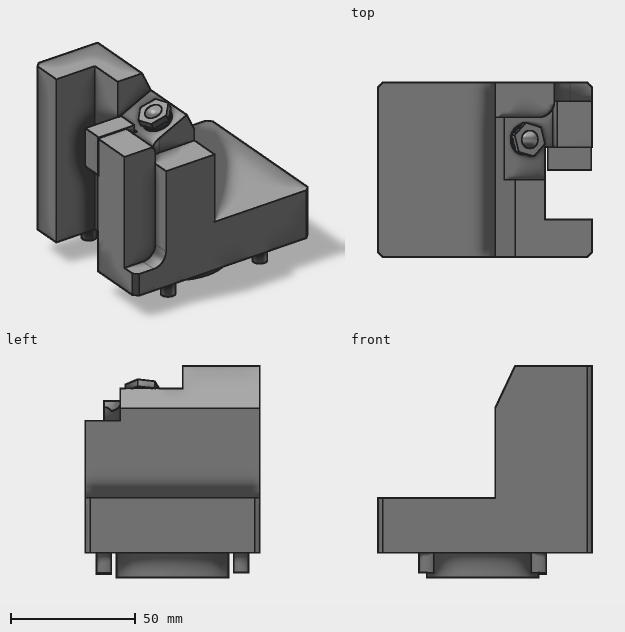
import cadquery as cq
import math

LENGTH = 86.0
WIDTH = 70.0
HEIGHT = 75.0
BASE_HEIGHT = 22.0
WALL_X = 47.0
SLOPE_BOTTOM_Z = 58.05
SLOPE_TOP_X = 55.0
CORNER_CHAMFER = 2.0

SEAT_Y = 31.0
SEAT_EDGE_Z = 66.0
SEAT_END_X = 70.1
BLOCK_TOP_Z = 61.0
SLOPE_RATIO = (SLOPE_TOP_X - WALL_X) / (HEIGHT - SLOPE_BOTTOM_Z)
SEAT_ANGLE = math.degrees(math.atan(SLOPE_RATIO))
SEAT_EDGE_X = WALL_X + SLOPE_RATIO * (SEAT_EDGE_Z - SLOPE_BOTTOM_Z)

LEDGE_Z = 53.0
LEDGE_Y = 56.0
LEDGE_END_X = 70.9
LEDGE_CORNER_RADIUS = 6.5
NOTCH_FILLET_RADIUS = 6.0
NOTCH_Y = LEDGE_Y + LEDGE_CORNER_RADIUS
NOTCH_FLOOR_Z = 10.0

SLOT_X = 67.1
SLOT_START_Y = 15.1
SLOT_END_Y = 44.1
JAW_START_X = 68.1
JAW_END_X = 85.65
JAW_START_Y = 34.8
JAW_TOP_Z = 61.4
JAW_BOTTOM_Z = JAW_TOP_Z - (JAW_END_X - JAW_START_X)

BOSS_X = 42.05
BOSS_Y = WIDTH / 2
BOSS_DIAMETER = 45.0
BOSS_HEIGHT = 10.0
PIN_DIAMETER = 6.0
PIN_HEIGHT = 7.9
LONG_PIN_HEIGHT = 8.6
PIN_OFFSET_X = 22.5
PIN_OFFSET_Y = 27.5

SCREW_X = 58.8
SCREW_Y = 47.1
WASHER_DIAMETER = 12.4
WASHER_HEIGHT = 0.4
COLLAR_DIAMETER = 11.9
COLLAR_HEIGHT = 2.0
HEX_CORNER_DIAMETER = 13.9
HEX_TOP_HEIGHT = 5.1
HEX_ROTATION = -15.0
DOME_RADIUS = 3.6
DOME_HEIGHT = 1.7


def box(x_range, y_range, z_range):
    """Box between two limits along each axis."""
    size = [high - low for low, high in (x_range, y_range, z_range)]
    return cq.Workplane("XY").box(*size, centered=False).translate((x_range[0], y_range[0], z_range[0]))


def extrude_along_y(profile, start_y, end_y):
    """Extrude a closed XZ workplane profile from start_y to end_y."""
    return profile.extrude(start_y - end_y).translate((0, start_y, 0))


def seat_z(x):
    """Height of the inclined seat at x."""
    return SEAT_EDGE_Z - SLOPE_RATIO * (x - SEAT_EDGE_X)


def make_body():
    profile = cq.Workplane("XZ").polyline([
        (0, 0), (LENGTH, 0), (LENGTH, HEIGHT), (SLOPE_TOP_X, HEIGHT),
        (WALL_X, SLOPE_BOTTOM_Z), (WALL_X, BASE_HEIGHT), (0, BASE_HEIGHT),
    ]).close()
    body = extrude_along_y(profile, 0, WIDTH)
    return body.edges("|Z and (<X or >X)").chamfer(CORNER_CHAMFER)


def make_seat_cut():
    """Space above the inclined seat, the block's leaning wall and the block top."""
    seat_end_z = seat_z(SEAT_END_X)
    block_edge_x = SEAT_END_X + SLOPE_RATIO * (BLOCK_TOP_Z - seat_end_z)
    profile = cq.Workplane("XZ").polyline([
        (WALL_X, seat_z(WALL_X)), (SEAT_END_X, seat_end_z), (block_edge_x, BLOCK_TOP_Z),
        (LENGTH, BLOCK_TOP_Z), (LENGTH, HEIGHT), (WALL_X, HEIGHT),
    ]).close()
    return extrude_along_y(profile, SEAT_Y, WIDTH)


def make_ledge_cut():
    ledge = box((WALL_X, LEDGE_END_X), (LEDGE_Y, WIDTH), (LEDGE_Z, HEIGHT))
    return ledge.edges("|Z and >X and <Y").fillet(LEDGE_CORNER_RADIUS)


def make_notch_cut():
    """Rear notch cut down into the base, its floor meeting the ledge wall in a concave quarter round."""
    arc_centre = (LEDGE_END_X + NOTCH_FILLET_RADIUS, NOTCH_FLOOR_Z + NOTCH_FILLET_RADIUS)
    arc_reach = NOTCH_FILLET_RADIUS * math.sqrt(0.5)
    profile = (
        cq.Workplane("XZ")
        .moveTo(LEDGE_END_X, HEIGHT)
        .lineTo(LEDGE_END_X, arc_centre[1])
        .threePointArc(
            (arc_centre[0] - arc_reach, arc_centre[1] - arc_reach),
            (arc_centre[0], NOTCH_FLOOR_Z),
        )
        .lineTo(LENGTH, NOTCH_FLOOR_Z)
        .lineTo(LENGTH, HEIGHT)
        .close()
    )
    return extrude_along_y(profile, NOTCH_Y, WIDTH)


def make_pin(x_side, y_side):
    is_long = x_side > 0 and y_side > 0
    height = LONG_PIN_HEIGHT if is_long else PIN_HEIGHT
    pin = cq.Workplane("XY").circle(PIN_DIAMETER / 2).extrude(-height)
    return pin.translate((BOSS_X + x_side * PIN_OFFSET_X, BOSS_Y + y_side * PIN_OFFSET_Y, 0))


def make_screw():
    """Washer, collar, hexagon and domed centre, built upright and then tilted onto the seat."""
    washer = cq.Workplane("XY").circle(WASHER_DIAMETER / 2).extrude(WASHER_HEIGHT)
    collar = cq.Workplane("XY").circle(COLLAR_DIAMETER / 2).extrude(COLLAR_HEIGHT)
    hexagon = (
        cq.Workplane("XY")
        .workplane(offset=COLLAR_HEIGHT)
        .polygon(6, HEX_CORNER_DIAMETER)
        .extrude(HEX_TOP_HEIGHT - COLLAR_HEIGHT)
        .rotate((0, 0, 0), (0, 0, 1), HEX_ROTATION)
    )
    sphere_radius = (DOME_RADIUS**2 + DOME_HEIGHT**2) / (2 * DOME_HEIGHT)
    dome_top = HEX_TOP_HEIGHT + DOME_HEIGHT
    dome = (
        cq.Workplane("XY")
        .sphere(sphere_radius)
        .translate((0, 0, dome_top - sphere_radius))
        .intersect(cq.Workplane("XY").circle(DOME_RADIUS).extrude(dome_top))
    )
    screw = washer.union(collar).union(hexagon).union(dome)
    screw = screw.rotate((0, 0, 0), (0, 1, 0), SEAT_ANGLE)
    return screw.translate((SCREW_X, SCREW_Y, seat_z(SCREW_X)))


result = make_body()
result = result.cut(make_seat_cut())
result = result.cut(make_ledge_cut())
result = result.cut(make_notch_cut())
result = result.cut(box((SLOT_X, LENGTH), (SLOT_START_Y, SLOT_END_Y), (0, HEIGHT)))

jaw = box((JAW_START_X, JAW_END_X), (JAW_START_Y, SLOT_END_Y), (JAW_BOTTOM_Z, JAW_TOP_Z))
result = result.union(jaw)

boss = cq.Workplane("XY").circle(BOSS_DIAMETER / 2).extrude(-BOSS_HEIGHT)
result = result.union(boss.translate((BOSS_X, BOSS_Y, 0)))
for x_side in (-1, 1):
    for y_side in (-1, 1):
        result = result.union(make_pin(x_side, y_side))

result = result.union(make_screw())